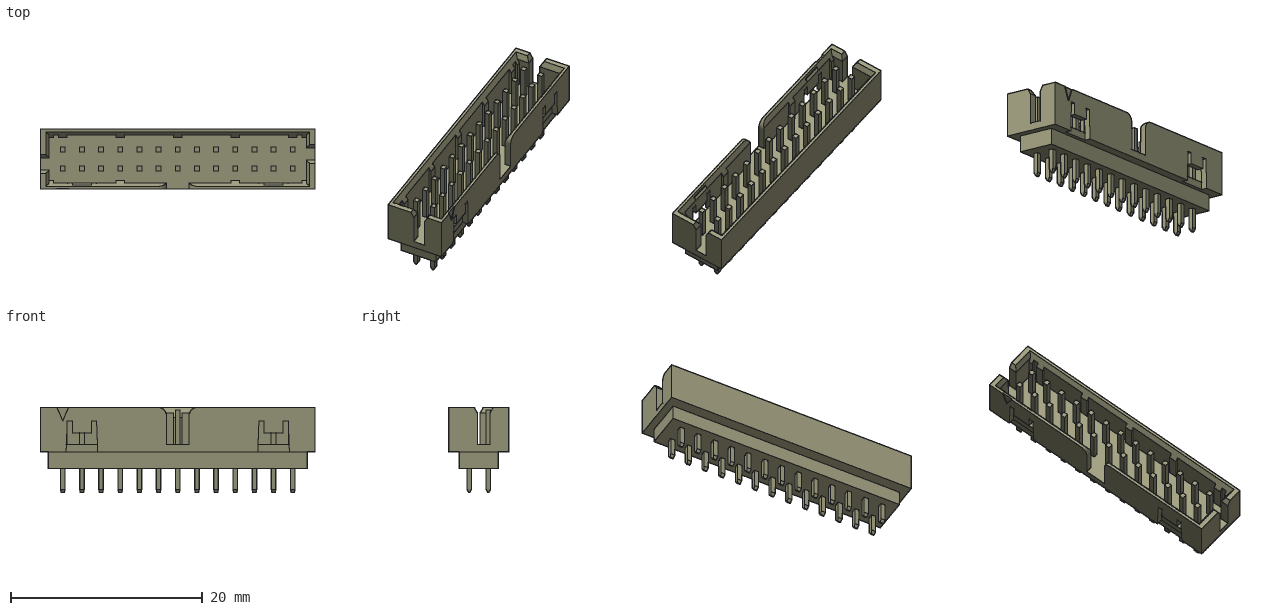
import cadquery as cq
import math

LENGTH = 28.65
WIDTH = 6.3
SHROUD_HEIGHT = 4.65
FLOOR = 0.8
END_WALL = 0.9
SIDE_WALL = 0.65

LEAD_IN_ANGLE = 30
LEAD_IN_DEPTH = 0.6

BASE_LENGTH = 27.05
BASE_WIDTH = 4.1
BASE_HEIGHT = 1.75

PITCH = 2.0
COLUMNS = 13
ROWS = 2
PIN = 0.5
PIN_TOP_DROP = 0.25
PIN_TAIL = 2.5
TIP_HEIGHT = 0.35
TIP_LENGTH = 0.35
TIP_WIDTH = 0.1

RIB_WIDTH = 0.85
RIB_HEIGHT = 0.25
CORNER_PAD_LENGTH = 0.44
BACK_RIB_COLUMNS = (-6, -3, 0, 3, 6)
FRONT_RIB_COLUMNS = (-3, 3)

END_SLOT_WIDTH = 1.28
END_SLOT_OFFSET = 0.52
KEY_WIDTH = 2.34
KEY_RADIUS = 0.88
WINDOW_COLUMNS = (-5, 5)
WINDOW_TOP_WIDTH = 3.06
WINDOW_BOTTOM_WIDTH = 3.3
WINDOW_HEIGHT = 3.22
TONGUE_WIDTH = 2.0
TONGUE_BOTTOM = 2.0

RELIEF_THICKNESS = 0.42

MARK_COLUMN = -6
MARK_WIDTH = 1.2
MARK_HEIGHT = 1.4
MARK_DEPTH = 0.1

FRONT = -WIDTH / 2
CAVITY_LENGTH = LENGTH - 2 * END_WALL
CAVITY_WIDTH = WIDTH - 2 * SIDE_WALL
CAVITY_DEPTH = SHROUD_HEIGHT - FLOOR
LEAD_IN = LEAD_IN_DEPTH * math.tan(math.radians(LEAD_IN_ANGLE))
LEAD_IN_SLOPE = LEAD_IN_DEPTH / LEAD_IN
SHOULDER = SHROUD_HEIGHT - LEAD_IN_DEPTH


def block(length, width, height, x=0, y=0, z=0):
    """Box centred on (x, y) and standing on z."""
    return cq.Workplane("XY").box(length, width, height, centered=(True, True, False)).translate((x, y, z))


def front_prism(points, depth):
    """Prism of an XZ outline, running inward from the front face."""
    return cq.Workplane("XZ", origin=(0, FRONT, 0)).polyline(points).close().extrude(-depth)


def cavity():
    """Straight-walled cavity with a sloped lead-in around its rim."""
    straight = block(CAVITY_LENGTH, CAVITY_WIDTH, CAVITY_DEPTH, z=FLOOR)
    lead_in = (
        cq.Workplane("XY", origin=(0, 0, SHOULDER))
        .rect(CAVITY_LENGTH, CAVITY_WIDTH)
        .workplane(offset=LEAD_IN_DEPTH)
        .rect(CAVITY_LENGTH + 2 * LEAD_IN, CAVITY_WIDTH + 2 * LEAD_IN)
        .loft(ruled=True)
    )
    return straight.union(lead_in)


def wall_rib(x, length, side):
    """Rib on the back (side = 1) or front (side = -1) wall, its top continuing the lead-in slope."""
    root = side * CAVITY_WIDTH / 2
    face = root - side * RIB_HEIGHT
    outline = [
        (root, FLOOR),
        (root, SHOULDER),
        (face, SHOULDER - RIB_HEIGHT * LEAD_IN_SLOPE),
        (face, FLOOR),
    ]
    return cq.Workplane("YZ", origin=(x - length / 2, 0, 0)).polyline(outline).close().extrude(length)


def ribs():
    """Every rib of both side walls, with the pads in the four corners."""
    pad_x = (CAVITY_LENGTH - CORNER_PAD_LENGTH) / 2
    solid = cq.Workplane("XY")
    for side, columns in ((1, BACK_RIB_COLUMNS), (-1, FRONT_RIB_COLUMNS)):
        for column in columns:
            solid = solid.add(wall_rib(column * PITCH, RIB_WIDTH, side))
        for end in (-1, 1):
            solid = solid.add(wall_rib(end * pad_x, CORNER_PAD_LENGTH, side))
    return solid.combine()


def end_slot(end):
    """Slot with a flared mouth through one end wall, offset from the middle of that wall."""
    half = END_SLOT_WIDTH / 2
    outline = [
        (-half, FLOOR),
        (half, FLOOR),
        (half, SHOULDER),
        (half + LEAD_IN, SHROUD_HEIGHT),
        (-half - LEAD_IN, SHROUD_HEIGHT),
        (-half, SHOULDER),
    ]
    x_start = LENGTH / 2 - END_WALL if end > 0 else -LENGTH / 2
    plane = cq.Workplane("YZ", origin=(x_start, end * END_SLOT_OFFSET, 0))
    return plane.polyline(outline).close().extrude(END_WALL)


def key_notch():
    """Polarising notch in the front wall with rounded upper corners."""
    half = KEY_WIDTH / 2
    mouth = half + KEY_RADIUS
    shoulder = SHROUD_HEIGHT - KEY_RADIUS
    return (
        cq.Workplane("XZ", origin=(0, FRONT, 0))
        .moveTo(-half, FLOOR)
        .lineTo(half, FLOOR)
        .lineTo(half, shoulder)
        .radiusArc((mouth, SHROUD_HEIGHT), KEY_RADIUS)
        .lineTo(-mouth, SHROUD_HEIGHT)
        .radiusArc((-half, shoulder), KEY_RADIUS)
        .close()
        .extrude(-SIDE_WALL)
    )


def latch_window(x):
    """Opening low in the front wall that leaves a tongue hanging from its upper edge."""
    outline = [
        (x - WINDOW_BOTTOM_WIDTH / 2, 0),
        (x + WINDOW_BOTTOM_WIDTH / 2, 0),
        (x + WINDOW_TOP_WIDTH / 2, WINDOW_HEIGHT),
        (x - WINDOW_TOP_WIDTH / 2, WINDOW_HEIGHT),
    ]
    tongue_length = WINDOW_HEIGHT - TONGUE_BOTTOM
    tongue = block(TONGUE_WIDTH, SIDE_WALL, tongue_length, x, FRONT + SIDE_WALL / 2, TONGUE_BOTTOM)
    return front_prism(outline, SIDE_WALL).cut(tongue)


def tongue_relief(x):
    """Cut that flattens the lead-in above a tongue into an upright face and a 45 degree ramp."""
    inner = FRONT + SIDE_WALL
    face = FRONT + RELIEF_THICKNESS
    outline = [
        (inner, SHOULDER),
        (face, SHOULDER + inner - face),
        (face, SHROUD_HEIGHT),
        (inner, SHROUD_HEIGHT),
    ]
    plane = cq.Workplane("YZ", origin=(x - TONGUE_WIDTH / 2, 0, 0))
    return plane.polyline(outline).close().extrude(TONGUE_WIDTH)


def pin_one_mark():
    """Shallow triangle pointing down from the front rim."""
    x = MARK_COLUMN * PITCH
    outline = [
        (x - MARK_WIDTH / 2, SHROUD_HEIGHT),
        (x + MARK_WIDTH / 2, SHROUD_HEIGHT),
        (x, SHROUD_HEIGHT - MARK_HEIGHT),
    ]
    return front_prism(outline, MARK_DEPTH)


def pin():
    """Square pin on the Z axis with a tapered tip below the base."""
    tip_top = -BASE_HEIGHT - PIN_TAIL + TIP_HEIGHT
    shank = block(PIN, PIN, SHROUD_HEIGHT - PIN_TOP_DROP - tip_top, z=tip_top)
    tip = (
        cq.Workplane("XY", origin=(0, 0, tip_top))
        .rect(PIN, PIN)
        .workplane(offset=-TIP_HEIGHT)
        .rect(TIP_LENGTH, TIP_WIDTH)
        .loft(ruled=True)
    )
    return shank.union(tip)


def housing():
    """Shroud and base with every opening cut."""
    body = block(LENGTH, WIDTH, SHROUD_HEIGHT).cut(cavity()).union(ribs())
    for end in (-1, 1):
        body = body.cut(end_slot(end))
    body = body.cut(key_notch())
    for column in WINDOW_COLUMNS:
        body = body.cut(latch_window(column * PITCH))
        body = body.cut(tongue_relief(column * PITCH))
    body = body.cut(pin_one_mark())
    return body.union(block(BASE_LENGTH, BASE_WIDTH, BASE_HEIGHT, z=-BASE_HEIGHT))


def add_pins(body):
    """Body with the full grid of pins."""
    contact = pin()
    for column in range(COLUMNS):
        for row in range(ROWS):
            x = (column - (COLUMNS - 1) / 2) * PITCH
            y = (row - (ROWS - 1) / 2) * PITCH
            body = body.union(contact.translate((x, y, 0)))
    return body


result = add_pins(housing())